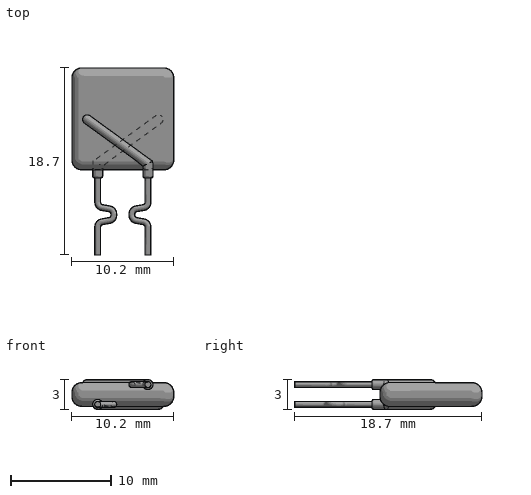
import cadquery as cq
import math

block_side = 10.2
block_thickness = 2.4
block_rounding = 1.01

lead_angles = (0, 180)
lead_pitch = 5.01
lead_diameter = 0.6
lead_reach = 8.5

overall_thickness = 3.0
ridge_radius = 0.5
ridge_overhang = 0.8
ridge_end_rounding = 0.2
ridge_bend_inset = 0.64
dome_x = -3.55
dome_y = -0.05

kink_start = 3.24
kink_bend_radius = 0.52
kink_arm_length = 0.75
kink_arm_slope = 10
kink_tip_length = 0.13

lead_x = lead_pitch / 2
lead_z = overall_thickness / 2 - ridge_radius
block_edge_y = -block_side / 2
ridge_end_y = block_edge_y - ridge_overhang
lead_tip_y = block_edge_y - lead_reach


def turned_about_y(shape, angle):
    return shape.rotate((0, 0, 0), (0, 1, 0), angle)


def rod_plane(y):
    """Plane across the lead's axis at the given Y, facing +Y."""
    return cq.Plane(origin=(lead_x, y, lead_z), xDir=(1, 0, 0), normal=(0, 1, 0))


def make_ridge():
    """Bent coating ridge, from its rounded outer end to its domed inner end."""
    path = cq.Workplane("XY", origin=(0, 0, lead_z)).polyline([
        (lead_x, ridge_end_y),
        (lead_x, block_edge_y + ridge_bend_inset),
        (dome_x, dome_y),
    ])
    rod = cq.Workplane(rod_plane(ridge_end_y)).circle(ridge_radius).sweep(path, transition="right")
    rod = rod.faces("<Y").edges().fillet(ridge_end_rounding)
    dome = cq.Workplane("XY", origin=(dome_x, dome_y, lead_z)).sphere(ridge_radius)
    return rod.union(dome)


def make_housing():
    """Rounded block together with the coating ridges on its two faces."""
    block = cq.Workplane("XY").box(block_side, block_side, block_thickness)
    block = block.edges().fillet(block_rounding)
    for angle in lead_angles:
        block = block.union(turned_about_y(make_ridge(), angle))
    return block


def make_lead_path():
    """Lead centreline: straight, hairpin kink towards the middle, straight."""
    turn = math.radians(90 - kink_arm_slope)
    bend_end = (kink_bend_radius * (1 - math.cos(turn)), kink_bend_radius * math.sin(turn))
    bend_middle = (kink_bend_radius * (1 - math.cos(turn / 2)), kink_bend_radius * math.sin(turn / 2))
    arm = (kink_arm_length * math.sin(turn), kink_arm_length * math.cos(turn))
    kink_depth = 2 * bend_end[0] + arm[0]
    kink_half_height = 2 * bend_end[1] + arm[1] + kink_tip_length / 2
    kink_middle_y = block_edge_y - kink_start - kink_half_height

    outer_bend_start = (0, kink_half_height)
    outer_bend_middle = (bend_middle[0], kink_half_height - bend_middle[1])
    outer_bend_end = (bend_end[0], kink_half_height - bend_end[1])
    inner_bend_start = (kink_depth - bend_end[0], kink_tip_length / 2 + bend_end[1])
    inner_bend_middle = (kink_depth - bend_middle[0], kink_tip_length / 2 + bend_middle[1])
    inner_bend_end = (kink_depth, kink_tip_length / 2)

    def upper(point):
        return lead_x - point[0], kink_middle_y + point[1]

    def lower(point):
        return lead_x - point[0], kink_middle_y - point[1]

    return (
        cq.Workplane("XY", origin=(0, 0, lead_z))
        .moveTo(lead_x, ridge_end_y)
        .lineTo(*upper(outer_bend_start))
        .threePointArc(upper(outer_bend_middle), upper(outer_bend_end))
        .lineTo(*upper(inner_bend_start))
        .threePointArc(upper(inner_bend_middle), upper(inner_bend_end))
        .lineTo(*lower(inner_bend_end))
        .threePointArc(lower(inner_bend_middle), lower(inner_bend_start))
        .lineTo(*lower(outer_bend_end))
        .threePointArc(lower(outer_bend_middle), lower(outer_bend_start))
        .lineTo(lead_x, lead_tip_y)
    )


def make_lead(angle):
    """Round wire that butts against the outer end of its ridge."""
    wire = cq.Workplane(rod_plane(ridge_end_y)).circle(lead_diameter / 2).sweep(make_lead_path())
    return turned_about_y(wire, angle)


housing = make_housing()
leads = [make_lead(angle) for angle in lead_angles]

result = cq.Compound.makeCompound([housing.val(), *[lead.val() for lead in leads]])